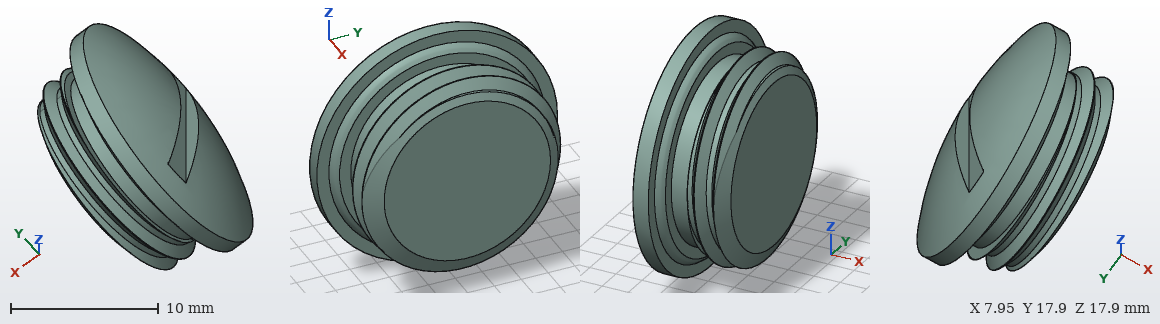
import cadquery as cq
import math


head_radius = 8.97
dome_height = 1.92
rim_thickness = 1.18
slot_width = 1.88
slot_depth = 1.13

neck_radius = 13.4 / 2
core_radius = 6.78
end_radius = 12.4 / 2
end_cone_angle = 23.5
thread_start = 4.92
total_length = 7.97

thread_pitch = 1.5
crest_radius = 7.57
crest_width = 0.07
root_width = 1.08
root_overlap = 0.05
helix_start = 3.21
helix_turns = 4

ring_width = 0.55
ring_front_radius = 8.07
ring_middle_radius = 7.9
ring_back_radius = 7.53

rim_front = dome_height
rim_back = rim_front + rim_thickness
cone_slope = math.tan(math.radians(end_cone_angle))


def revolve_about_x(profile):
    """Turn a closed profile, drawn as (x, radius), fully around the X axis."""
    return profile.close().revolve(360, (0, 0, 0), (1, 0, 0))


def cone_position(radius):
    """X position where the end cone has the given radius."""
    return total_length - (radius - end_radius) * cone_slope


def make_head_and_neck():
    """Domed head and plain neck."""
    dome_radius = (head_radius**2 + dome_height**2) / (2 * dome_height)
    mid_radius = head_radius / 2
    mid_x = dome_radius - math.sqrt(dome_radius**2 - mid_radius**2)
    profile = (
        cq.Workplane("XY")
        .threePointArc((mid_x, mid_radius), (rim_front, head_radius))
        .lineTo(rim_back, head_radius)
        .lineTo(rim_back, neck_radius)
        .lineTo(thread_start, neck_radius)
        .lineTo(thread_start, 0)
    )
    return revolve_about_x(profile)


def make_slot():
    """Straight screwdriver slot along Z, open across the dome."""
    return cq.Workplane("XY").box(
        slot_depth, slot_width, 2 * head_radius, centered=(False, True, True)
    )


def make_thread_envelope():
    """Outer limit of the threaded end: from the neck to the end cone."""
    envelope_radius = crest_radius + 0.18
    profile = (
        cq.Workplane("XY")
        .moveTo(thread_start, 0)
        .lineTo(thread_start, envelope_radius)
        .lineTo(cone_position(envelope_radius), envelope_radius)
        .lineTo(total_length, end_radius)
        .lineTo(total_length, 0)
    )
    return revolve_about_x(profile)


def make_threaded_end():
    """Core with a right-handed helical ridge, trimmed at the neck and by the end cone."""
    flank_slope = (root_width - crest_width) / (2 * (crest_radius - core_radius))
    foot_radius = core_radius - root_overlap
    half_foot = root_width / 2 + root_overlap * flank_slope
    half_crest = crest_width / 2
    helix = cq.Wire.makeHelix(thread_pitch, helix_turns * thread_pitch, core_radius)
    ridge = (
        cq.Workplane("XZ")
        .moveTo(foot_radius, -half_foot)
        .lineTo(crest_radius, -half_crest)
        .lineTo(crest_radius, half_crest)
        .lineTo(foot_radius, half_foot)
        .close()
        .sweep(cq.Workplane(helix), isFrenet=True)
        .rotate((0, 0, 0), (0, 1, 0), 90)
        .translate((helix_start, 0, 0))
    )
    core = cq.Workplane("YZ").circle(core_radius).extrude(helix_start + (helix_turns + 1) * thread_pitch)
    return core.union(ridge).intersect(make_thread_envelope())


def make_plug():
    return make_head_and_neck().cut(make_slot()).union(make_threaded_end())


def make_seal_ring():
    """Ring around the neck, against the rim, with a bulged outer surface."""
    ring_back = rim_back + ring_width
    profile = (
        cq.Workplane("XY")
        .moveTo(rim_back, neck_radius)
        .lineTo(rim_back, ring_front_radius)
        .threePointArc((rim_back + ring_width / 2, ring_middle_radius), (ring_back, ring_back_radius))
        .lineTo(ring_back, neck_radius)
    )
    return revolve_about_x(profile)


plug = make_plug()
seal_ring = make_seal_ring()

result = cq.Compound.makeCompound([plug.val(), seal_ring.val()])